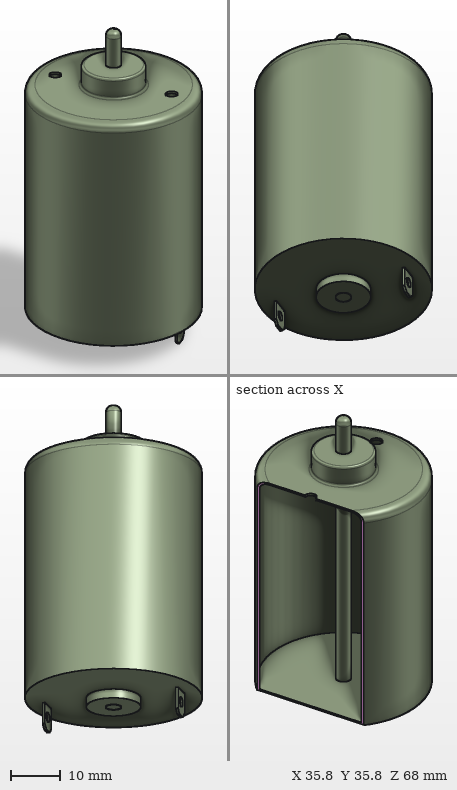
import cadquery as cq

can_diameter = 35.75
can_length = 50.0
can_edge_radius = 2.0
can_wall = 0.5

front_boss_diameter = 13.0
front_boss_height = 4.5
boss_edge_radius = 0.5
boss_root_radius = 0.5

rear_boss_diameter = 11.0
rear_boss_height = 1.9

shaft_diameter = 3.175
shaft_front_length = 8.0
shaft_rear_length = 0.1
shaft_tip_radius = 1.5

mount_hole_diameter = 2.5
mount_hole_spacing = 25.0

terminal_width = 4.0
terminal_length = 5.45
terminal_thickness = 0.5
terminal_spacing = 28.4
terminal_corner = 1.0
terminal_hole_diameter = 2.0
terminal_hole_drop = 2.5


def rounded_cylinder(diameter, bottom, height, top_edge_radius):
    """Cylinder on the Z axis with a rounded top edge."""
    return (
        cq.Workplane("XY", origin=(0, 0, bottom))
        .circle(diameter / 2)
        .extrude(height)
        .faces(">Z")
        .edges()
        .fillet(top_edge_radius)
    )


def make_case():
    """Solid can with both bosses and a fillet at the root of the front boss."""
    can = rounded_cylinder(can_diameter, 0, can_length, can_edge_radius)
    front_boss = rounded_cylinder(front_boss_diameter, can_length, front_boss_height, boss_edge_radius)
    rear_boss = cq.Workplane("XY").circle(rear_boss_diameter / 2).extrude(-rear_boss_height)
    case = can.union(front_boss).union(rear_boss)

    front_face = case.faces(cq.selectors.NearestToPointSelector((0, 0, can_length)))
    boss_root = front_face.edges(cq.selectors.RadiusNthSelector(0))
    return boss_root.fillet(boss_root_radius)


def make_cavity():
    """Space inside the can, leaving an even wall all round."""
    return rounded_cylinder(
        can_diameter - 2 * can_wall,
        can_wall,
        can_length - 2 * can_wall,
        can_edge_radius - can_wall,
    )


def make_shaft():
    rear_end = -rear_boss_height - shaft_rear_length
    front_end = can_length + front_boss_height + shaft_front_length
    return rounded_cylinder(shaft_diameter, rear_end, front_end - rear_end, shaft_tip_radius)


def cut_mount_holes(body):
    holes = (
        cq.Workplane("XY", origin=(0, 0, can_length))
        .rarray(mount_hole_spacing, 1, 2, 1)
        .circle(mount_hole_diameter / 2)
        .extrude(-can_wall)
    )
    return body.cut(holes)


def make_terminal(center_x):
    """Flat tab in the YZ plane with two cut corners and a wire hole."""
    plane_origin = (center_x, 0, 0)
    blank_height = terminal_length + can_wall
    blank = (
        cq.Workplane("YZ", origin=plane_origin)
        .center(0, can_wall - blank_height / 2)
        .rect(terminal_width, blank_height)
        .extrude(terminal_thickness / 2, both=True)
        .faces("<Z")
        .edges("|X")
        .chamfer(terminal_corner)
    )
    wire_hole = (
        cq.Workplane("YZ", origin=plane_origin)
        .center(0, -terminal_hole_drop)
        .circle(terminal_hole_diameter / 2)
        .extrude(terminal_thickness, both=True)
    )
    return blank.cut(wire_hole)


motor = make_case().cut(make_cavity())
motor = motor.union(make_shaft())
motor = cut_mount_holes(motor)
for side in (-1, 1):
    motor = motor.union(make_terminal(side * terminal_spacing / 2))

result = motor